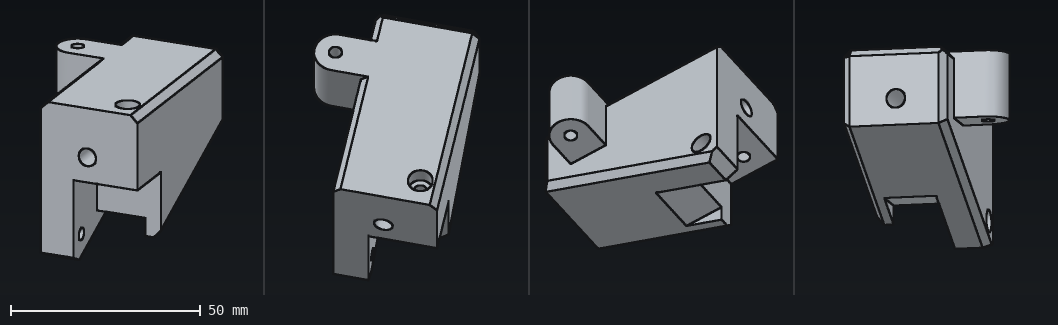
import cadquery as cq


width = 28.0
length = 56.6
height = 44.65
back_height = 20.9
toe_length = 3.8
toe_rise = 1.9
edge_chamfer = 2.0

wall_thickness = 9.5
ledge_depth = back_height
pocket_length = 15.0
slot_ceiling_depth = 34.5
lip_width = 4.5

lug_radius = 5.65
lug_height = 17.85
lug_overhang = 13.7
lug_y = 41.45

screw_diameter = 3.4
screw_head_depth = 5.0
top_head_diameter = 6.5
top_hole_x = 22.1
top_hole_y = 6.9
side_head_diameter = 6.0
side_hole_y = 5.1
side_hole_depth = 37.75
bore_diameter = 5.0
bore_x = 13.5
bore_depth = 13.8


def make_body():
    """Wedge extruded across X, with its long side edges and rear edges chamfered.

    The top left bevel is cut last, so that it mitres with the rear bevels.
    """
    wedge = (
        cq.Workplane("YZ")
        .polyline(
            [
                (0, 0),
                (length, 0),
                (length, -back_height),
                (toe_length, -height),
                (0, -height + toe_rise),
            ]
        )
        .close()
        .extrude(width)
    )
    slope_middle = ((length + toe_length) / 2, -(back_height + height) / 2)
    edge_points = [(width / 2, length, 0), (width, length / 2, 0)]
    for x in (0, width):
        edge_points.append((x, length, -back_height / 2))
        edge_points.append((x, *slope_middle))
    edges = wedge.newObject([])
    for point in edge_points:
        edges = edges.add(wedge.edges(cq.selectors.NearestToPointSelector(point)))
    top_left_bevel = (
        cq.Workplane("XZ")
        .polyline([(0, 0), (edge_chamfer, 0), (0, -edge_chamfer)])
        .close()
        .extrude(-length)
    )
    return edges.chamfer(edge_chamfer).cut(top_left_bevel)


def make_pocket():
    """Open space below the ledge at the front, plus the slot between wall and lip."""
    pocket = cq.Workplane("XY").box(
        width - wall_thickness, pocket_length, height - ledge_depth, centered=False
    ).translate((wall_thickness, 0, -height))
    slot = cq.Workplane("XY").box(
        width - wall_thickness - lip_width, length, height - slot_ceiling_depth, centered=False
    ).translate((wall_thickness, 0, -height))
    return pocket.union(slot)


def make_lug():
    """Round-ended lug, flush with the top face and running into the body."""
    center_x = lug_radius - lug_overhang
    root_x = edge_chamfer
    return (
        cq.Workplane("XY")
        .moveTo(root_x, lug_y - lug_radius)
        .lineTo(root_x, lug_y + lug_radius)
        .lineTo(center_x, lug_y + lug_radius)
        .threePointArc((-lug_overhang, lug_y), (center_x, lug_y - lug_radius))
        .close()
        .extrude(-lug_height)
    )


def cylinder(diameter, depth, start, direction):
    return cq.Workplane(
        cq.Solid.makeCylinder(diameter / 2, depth, cq.Vector(*start), cq.Vector(*direction))
    )


def make_counterbored_hole(head_diameter, depth, start, direction):
    """Screw hole with a wider bore for the head at its start."""
    hole = cylinder(screw_diameter, depth, start, direction)
    return hole.union(cylinder(head_diameter, screw_head_depth, start, direction))


down = (0, 0, -1)
across = (1, 0, 0)
backward = (0, 1, 0)

result = make_body().cut(make_pocket()).union(make_lug())
result = result.cut(cylinder(screw_diameter, lug_height, (lug_radius - lug_overhang, lug_y, 0), down))
result = result.cut(
    make_counterbored_hole(top_head_diameter, height, (top_hole_x, top_hole_y, 0), down)
)
result = result.cut(
    make_counterbored_hole(side_head_diameter, width, (0, side_hole_y, -side_hole_depth), across)
)
result = result.cut(cylinder(bore_diameter, length, (bore_x, 0, -bore_depth), backward))